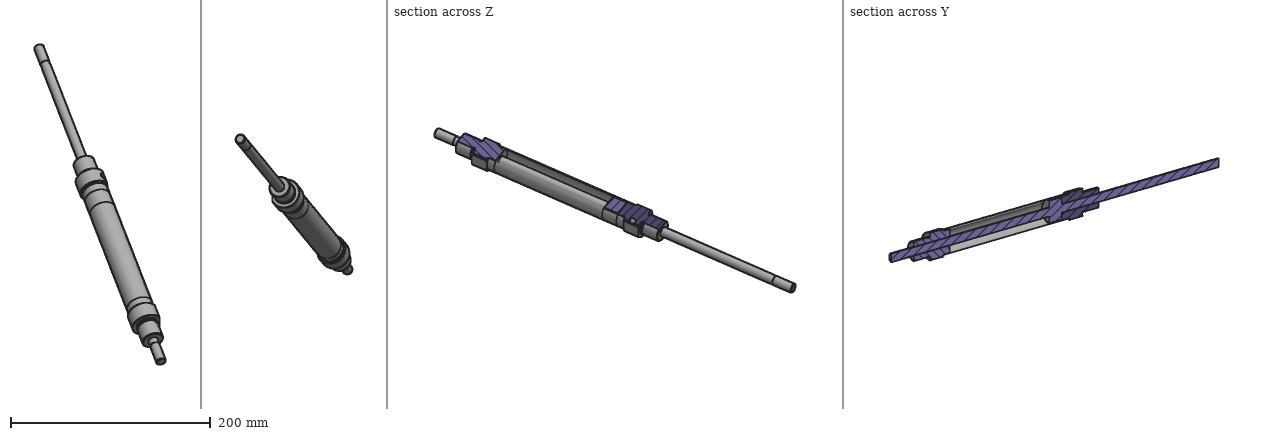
import cadquery as cq
import math

rod_length = 418.0
rod_radius = 5.0
end_chamfer = 1.0
rod_tip_length = 22.0
relief_floor_end = 23.0
relief_end = 26.8
relief_depth = 0.5
piston_length = 16.7

bore_radius = 12.5
tube_radius = 13.5

tube_start = 191.5
visible_tube_length = 159.5
plug_length = 8.5
cap_length = 17.5
cap_radius = 15.0
outer_cap_chamfer = 0.5
inner_cap_chamfer = 1.3
cap_flat_offset = 13.5
shoulder_length = 1.0
neck_length = 1.5
neck_radius = 10.0
nose_length = 18.5
nose_radius = 11.0
nose_chamfer = 1.0

screw_hole_radius = 3.5
screw_hole_depth = 4.0
screw_hole_angle = 40.0

tube_end = tube_start + visible_tube_length
tube_middle = (tube_start + tube_end) / 2


def revolve_about_x(points):
    """Solid of revolution from an (x, radius) outline that closes along the X axis."""
    return cq.Workplane("XY").polyline(points).close().revolve(360, (0, 0, 0), (1, 0, 0))


def cylinder_along_x(start, length, radius):
    return cq.Workplane("YZ").workplane(offset=start).circle(radius).extrude(length)


def make_rod():
    floor_radius = rod_radius - relief_depth
    left_outline = [
        (0, 0),
        (0, rod_radius - end_chamfer),
        (end_chamfer, rod_radius),
        (rod_tip_length, rod_radius),
        (rod_tip_length, floor_radius),
        (relief_floor_end, floor_radius),
        (relief_end, rod_radius),
    ]
    right_outline = [(rod_length - x, radius) for x, radius in reversed(left_outline)]
    rod = revolve_about_x(left_outline + right_outline)
    piston = cylinder_along_x(tube_start + plug_length, piston_length, bore_radius)
    return rod.union(piston)


def make_tube():
    tube = cylinder_along_x(tube_start, visible_tube_length, tube_radius)
    return tube.cut(cylinder_along_x(tube_start, visible_tube_length, bore_radius))


def make_cap():
    """Left end cap: round nose, neck, shoulder, flatted head and a plug that fills the bore."""
    head_start = tube_start - cap_length
    shoulder_start = head_start - shoulder_length
    neck_start = shoulder_start - neck_length
    nose_start = neck_start - nose_length
    plug_end = tube_start + plug_length

    nose = cylinder_along_x(nose_start, nose_length, nose_radius).edges().chamfer(nose_chamfer)
    neck = cylinder_along_x(neck_start, neck_length, neck_radius)
    shoulder = cylinder_along_x(shoulder_start, shoulder_length, nose_radius)
    head = cylinder_along_x(head_start, cap_length, cap_radius)
    head = head.faces("<X").chamfer(outer_cap_chamfer)
    head = head.faces(">X").chamfer(inner_cap_chamfer)
    beyond_flat = cq.Workplane("XY").box(
        cap_length, cap_radius, 2 * cap_radius, centered=(False, False, True)
    )
    head = head.cut(beyond_flat.translate((head_start, cap_flat_offset, 0)))
    plug = cylinder_along_x(tube_start, plug_length, bore_radius)

    rod_hole = cylinder_along_x(nose_start, plug_end - nose_start, rod_radius)
    return nose.union(neck).union(shoulder).union(head).union(plug).cut(rod_hole)


def cut_screw_hole(cap):
    angle = math.radians(screw_hole_angle)
    outward = cq.Vector(0, math.cos(angle), math.sin(angle))
    floor_distance = cap_radius - screw_hole_depth
    floor_centre = cq.Vector(tube_start - cap_length / 2, 0, 0) + outward * floor_distance
    hole = cq.Solid.makeCylinder(screw_hole_radius, 2 * screw_hole_depth, floor_centre, outward)
    return cap.cut(cq.Workplane(obj=hole))


rod = make_rod()
tube = make_tube()
plain_cap = make_cap()
left_cap = cut_screw_hole(plain_cap)
right_cap = plain_cap.mirror("YZ", (tube_middle, 0, 0))

result = cq.Compound.makeCompound([rod.val(), tube.val(), left_cap.val(), right_cap.val()])